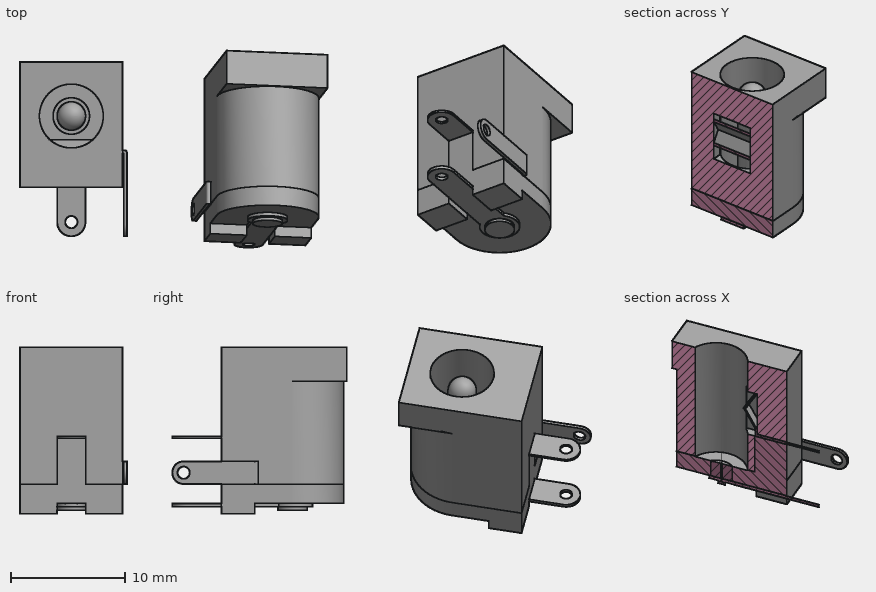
import cadquery as cq
import math


body_width = 9.0
front_y = -6.25
back_radius = body_width / 2

housing_top = 12.0
flange_height = 3.0
flange_back_y = 4.75
bore_radius = 2.8

plug_bottom = -1.7
foot_bottom = -2.62
foot_depth = 2.95
tongue_height = 4.0

tab_width = 2.5
tab_end_y = -10.55
tab_hole_diameter = 1.05
tab_thickness = 0.3

pin_radius = 1.25
pin_top = 11.0
rivet_radius = 1.3
rivet_height = 0.3
sleeve_radius = 1.6
contact_eye_radius = 1.75
contact_bottom = plug_bottom - tab_thickness

spring_thickness = 0.2
spring_width = 4.0
leaf_face_y = -3.2
bump_tip_y = -2.1
bump_slope = 60
bump_start_z = 4.8
bump_rise = (bump_tip_y - leaf_face_y) * math.tan(math.radians(bump_slope))
bump_tip_z = bump_start_z + bump_rise
leaf_top = bump_tip_z + bump_rise
leaf_back_y = leaf_face_y - spring_thickness
spring_tab_top = tongue_height + spring_thickness

switch_height = 2.0
switch_outer_x = 4.88
switch_leg_y = -3.0
switch_leg_end_x = 2.5
switch_bend_radius = 0.2


def box(x_range, y_range, z_range):
    """Block spanning the given (low, high) ranges."""
    spans = [high - low for low, high in (x_range, y_range, z_range)]
    corner = (x_range[0], y_range[0], z_range[0])
    return cq.Workplane("XY").box(*spans, centered=False).translate(corner)


def centered_box(width, y_range, z_range):
    """Block centered on X = 0."""
    return box((-width / 2, width / 2), y_range, z_range)


def cylinder(radius, bottom, top):
    """Cylinder on the socket axis."""
    return cq.Workplane("XY").workplane(offset=bottom).circle(radius).extrude(top - bottom)


def body_block(bottom, top):
    """Flat-fronted block with a half-round back."""
    return (
        cq.Workplane("XY")
        .workplane(offset=bottom)
        .moveTo(-body_width / 2, front_y)
        .lineTo(body_width / 2, front_y)
        .lineTo(body_width / 2, 0)
        .threePointArc((0, back_radius), (-body_width / 2, 0))
        .close()
        .extrude(top - bottom)
    )


def flat_tab(inner_y, bottom, thickness):
    """Horizontal solder tab with a round outer end and a wire hole."""
    end_radius = tab_width / 2
    end_center_y = tab_end_y + end_radius
    return (
        cq.Workplane("XY")
        .workplane(offset=bottom)
        .moveTo(-end_radius, inner_y)
        .lineTo(-end_radius, end_center_y)
        .threePointArc((0, tab_end_y), (end_radius, end_center_y))
        .lineTo(end_radius, inner_y)
        .close()
        .moveTo(0, end_center_y)
        .circle(tab_hole_diameter / 2)
        .extrude(thickness)
    )


def make_tongue():
    """Upright of the plug that fills the housing's front slot below the spring tab."""
    return centered_box(tab_width, (front_y, leaf_face_y), (0, tongue_height))


def make_switch_leg():
    """Short leg of the switch contact, from the strip's outer face into the wall."""
    return box(
        (switch_leg_end_x, switch_outer_x),
        (switch_leg_y - tab_thickness, switch_leg_y),
        (0, switch_height),
    )


def make_housing():
    flange = centered_box(
        body_width, (front_y, flange_back_y), (housing_top - flange_height, housing_top)
    )
    front_slot = centered_box(tab_width, (front_y, leaf_face_y), (0, spring_tab_top))
    leaf_pocket = centered_box(spring_width, (leaf_back_y, bump_tip_y), (tongue_height, leaf_top))
    return (
        body_block(0, housing_top)
        .union(flange)
        .cut(cylinder(bore_radius, 0, housing_top))
        .cut(front_slot)
        .cut(leaf_pocket)
        .cut(make_switch_leg())
    )


def make_plug():
    foot = centered_box(body_width, (front_y, front_y + foot_depth), (foot_bottom, plug_bottom))
    foot_notch = centered_box(tab_width, (front_y, front_y + foot_depth), (foot_bottom, plug_bottom))
    return (
        body_block(plug_bottom, 0)
        .union(foot.cut(foot_notch))
        .union(make_tongue())
        .cut(cylinder(sleeve_radius, plug_bottom, 0))
    )


def make_sleeve():
    """Insulating ring between the plug and the pin."""
    return cylinder(sleeve_radius, plug_bottom, 0).cut(cylinder(pin_radius, plug_bottom, 0))


def make_pin():
    """Ball-ended center pin with a rivet head under its contact."""
    ball_center_z = pin_top - pin_radius
    ball = cq.Workplane("XY").sphere(pin_radius).translate((0, 0, ball_center_z))
    rivet = cylinder(rivet_radius, contact_bottom - rivet_height, contact_bottom)
    return cylinder(pin_radius, contact_bottom, ball_center_z).union(ball).union(rivet)


def make_pin_contact():
    """Solder tab that widens to a round eye riveted to the pin."""
    return (
        flat_tab(0, contact_bottom, tab_thickness)
        .union(cylinder(contact_eye_radius, contact_bottom, plug_bottom))
        .cut(cylinder(pin_radius, contact_bottom, plug_bottom))
    )


def make_spring_contact():
    leaf = (
        cq.Workplane("YZ")
        .moveTo(leaf_face_y, tongue_height)
        .lineTo(leaf_face_y, bump_start_z)
        .lineTo(bump_tip_y, bump_tip_z)
        .lineTo(leaf_face_y, leaf_top)
        .lineTo(leaf_back_y, leaf_top)
        .lineTo(bump_tip_y - spring_thickness, bump_tip_z)
        .lineTo(leaf_back_y, bump_start_z)
        .lineTo(leaf_back_y, tongue_height)
        .close()
        .extrude(spring_width / 2, both=True)
    )
    return flat_tab(leaf_face_y, tongue_height, spring_thickness).union(leaf)


def make_switch_contact():
    end_radius = switch_height / 2
    end_center_y = tab_end_y + end_radius
    strip = (
        cq.Workplane("YZ")
        .workplane(offset=switch_outer_x - tab_thickness)
        .moveTo(switch_leg_y, 0)
        .lineTo(switch_leg_y, switch_height)
        .lineTo(end_center_y, switch_height)
        .threePointArc((tab_end_y, end_radius), (end_center_y, 0))
        .close()
        .moveTo(end_center_y, end_radius)
        .circle(tab_hole_diameter / 2)
        .extrude(tab_thickness)
    )
    outer_bend = cq.selectors.NearestToPointSelector((switch_outer_x, switch_leg_y, end_radius))
    return strip.union(make_switch_leg()).edges(outer_bend).fillet(switch_bend_radius)


housing = make_housing()
plug = make_plug()
sleeve = make_sleeve()
pin = make_pin()
pin_contact = make_pin_contact()
spring_contact = make_spring_contact()
switch_contact = make_switch_contact()

result = cq.Compound.makeCompound(
    [
        housing.val(),
        plug.val(),
        sleeve.val(),
        pin.val(),
        pin_contact.val(),
        spring_contact.val(),
        switch_contact.val(),
    ]
)